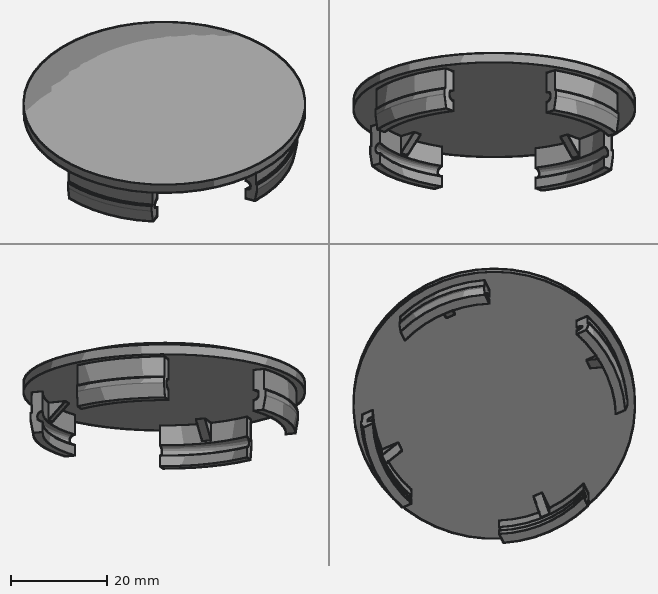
import cadquery as cq

cap_radius = 29.25
rim_height = 2.1
dome_rise = 5.5
dome_radius = (cap_radius**2 + dome_rise**2) / (2 * dome_rise)

leg_count = 4
leg_length = 8.8
leg_width = 19.3
leg_inner_radius = 50.5 / 2
leg_outer_radius = 27.5
leg_tip_radius = 27.25

snap_radius = 27.8
snap_bottom = 3.05
snap_top = 4.25
snap_shoulder = 4.5

groove_radius = 1.1
groove_height = 3.4

rib_width = 2.0
rib_reach = 3.75
rib_overlap = 0.6


def make_cap():
    """Revolve the rim and dome as one solid above the leg ring."""
    rim_top = leg_length + rim_height
    apex = rim_top + dome_rise
    mid_radius = cap_radius / 2
    mid_height = apex - dome_radius + (dome_radius**2 - mid_radius**2) ** 0.5
    return (
        cq.Workplane("XZ")
        .moveTo(0, leg_length)
        .lineTo(cap_radius, leg_length)
        .lineTo(cap_radius, rim_top)
        .threePointArc((mid_radius, mid_height), (0, apex))
        .close()
        .revolve(360, (0, 0, 0), (0, 1, 0))
    )


def make_leg_ring():
    """Revolve the leg section, with its snap band and inner groove."""
    return (
        cq.Workplane("XZ")
        .moveTo(leg_inner_radius, 0)
        .lineTo(leg_tip_radius, 0)
        .lineTo(snap_radius, snap_bottom)
        .lineTo(snap_radius, snap_top)
        .lineTo(leg_outer_radius, snap_shoulder)
        .lineTo(leg_outer_radius, leg_length)
        .lineTo(leg_inner_radius, leg_length)
        .lineTo(leg_inner_radius, groove_height + groove_radius)
        .threePointArc(
            (leg_inner_radius + groove_radius, groove_height),
            (leg_inner_radius, groove_height - groove_radius),
        )
        .close()
        .revolve(360, (0, 0, 0), (0, 1, 0))
    )


def make_leg_cross():
    """Crossed bars that keep only the four leg sectors of the ring."""
    bar_length = 2 * cap_radius
    along_x = cq.Workplane("XY").box(bar_length, leg_width, leg_length, centered=(True, True, False))
    along_y = cq.Workplane("XY").box(leg_width, bar_length, leg_length, centered=(True, True, False))
    return along_x.union(along_y)


def make_rib():
    """45 degree rib on the inside of the +X leg, rooted slightly into the leg wall."""
    rib_root = leg_inner_radius + rib_overlap
    return (
        cq.Workplane("XZ")
        .moveTo(leg_inner_radius - rib_reach, leg_length)
        .lineTo(rib_root, leg_length)
        .lineTo(rib_root, leg_length - rib_reach)
        .lineTo(leg_inner_radius, leg_length - rib_reach)
        .close()
        .extrude(rib_width / 2, both=True)
    )


result = make_cap().union(make_leg_ring().intersect(make_leg_cross()))
for index in range(leg_count):
    rib = make_rib().rotate((0, 0, 0), (0, 0, 1), index * 360 / leg_count)
    result = result.union(rib)